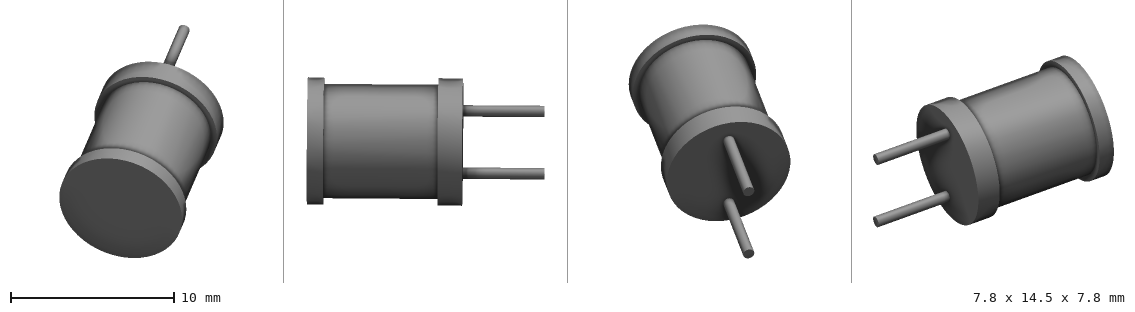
import cadquery as cq

flange_diameter = 7.8
winding_diameter = 7.0
base_flange_thickness = 1.5
winding_length = 7.0
end_flange_thickness = 1.0

pin_diameter = 0.7
pin_length = 5.0
pin_pitch = 5.0


def cylinder_along_y(diameter, y_start, y_end, z_center=0.0):
    """Solid cylinder parallel to Y between two Y positions."""
    return (
        cq.Workplane("XZ", origin=(0, y_end, z_center))
        .circle(diameter / 2)
        .extrude(y_end - y_start)
    )


def make_body():
    """Winding barrel with a flange at each end."""
    winding_end = -base_flange_thickness
    winding_start = winding_end - winding_length
    body_start = winding_start - end_flange_thickness

    base_flange = cylinder_along_y(flange_diameter, winding_end, 0)
    winding = cylinder_along_y(winding_diameter, winding_start, winding_end)
    end_flange = cylinder_along_y(flange_diameter, body_start, winding_start)
    return base_flange.union(winding).union(end_flange)


result = make_body()
for side in (-1, 1):
    pin = cylinder_along_y(pin_diameter, 0, pin_length, side * pin_pitch / 2)
    result = result.union(pin)